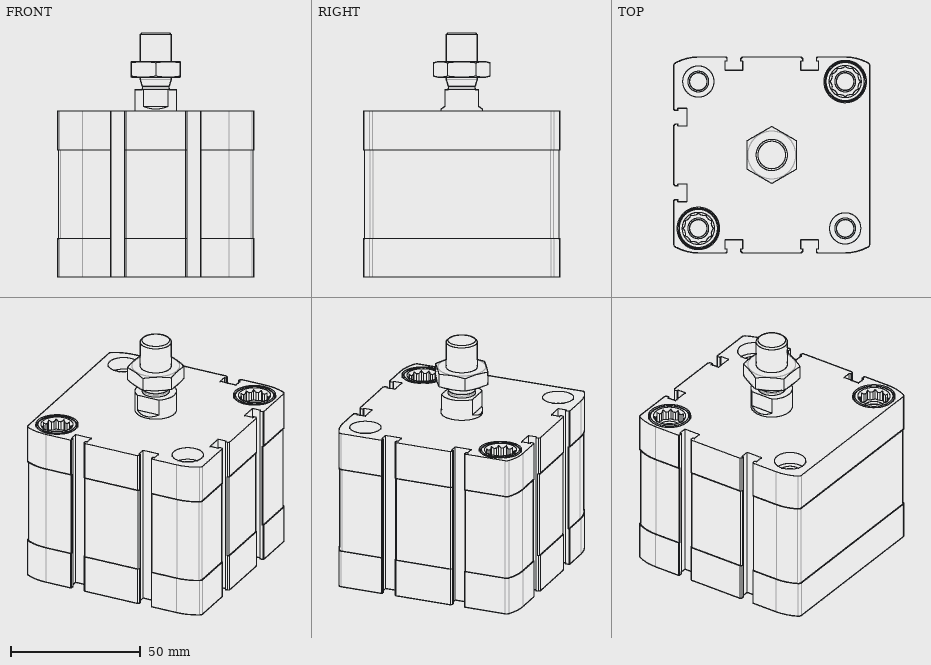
import cadquery as cq
import math

WIDTH = 75.5
HEIGHT = 63.9
TOP_CAP = 15.0
BOTTOM_CAP = 14.85
BARREL_INSET = 0.3
HALF = WIDTH / 2

HOLE_SPACING = 56.5
CORNER = HOLE_SPACING / 2
THROUGH_D = 6.7
THROUGH_RIM_D = 8.0
COUNTERBORE_D = 12.0
COUNTERBORE_DEPTH = 5.0

CORNER_R = 18.4
EDGE_R = 1.4

SLOT_OFFSET = 14.6
SLOT_MOUTH = 5.3
SLOT_WIDTH = 6.8
SLOT_DEPTH = 5.1
SLOT_LIP = 1.6
SLOT_INNER_CHAMFER = 0.6
SLOT_OUTER_CHAMFER = 0.3

HEAD_RECESS_D = 16.4
HEAD_D = 15.5
HEAD_FACE_D = 14.7
HEAD_GAP_DEPTH = 0.9
SOCKET_TEETH = 12
SOCKET_POINT_D = 11.7
SOCKET_CREST_D = 10.6
SOCKET_CREST_WIDTH = 1.0
SOCKET_RIM_D = 12.4
SOCKET_LEAD_IN_DEPTH = 1.5
SOCKET_DEPTH = 5.0

TOTAL_HEIGHT = 94.0
ROD_D = 16.0
ROD_BOTTOM_Z = HEIGHT - TOP_CAP
SHOULDER_Z = 72.1
FLATS_WIDTH = 13.0
FLATS_BOTTOM_Z = 65.7
FLATS_RUNOUT = 1.0
NECK_D = 10.6
NECK_TOP_Z = 73.7
UNDERCUT_D = 10.2
UNDERCUT_TOP_Z = 73.4
UNDERCUT_BOTTOM_Z = 72.8
THREAD_D = 12.0
THREAD_BOTTOM_Z = 76.0
THREAD_CHAMFER = 0.705

NUT_SIDES = 6
NUT_FLATS = 19.0
NUT_HEIGHT = 6.0
NUT_BOTTOM_Z = 76.9
NUT_FACE_D = 18.4
NUT_CHAMFER_ANGLE = 15


def cone(lower_d, upper_d, bottom_z, top_z):
    """Truncated cone or cylinder about the Z axis."""
    profile = [(0, bottom_z), (lower_d / 2, bottom_z), (upper_d / 2, top_z), (0, top_z)]
    return cq.Workplane("XZ").polyline(profile).close().revolve(360, (0, 0), (0, 1))


def block(inset, bottom_z, height):
    """Slab with the housing outline, set in all round by `inset`."""
    side = HALF - inset
    radius = CORNER_R - inset
    arc_centre = HALF - CORNER_R
    corner_y = arc_centre + math.sqrt(radius**2 - (side - CORNER) ** 2)
    mid_angle = (math.pi / 2 + math.atan2(corner_y - arc_centre, side - CORNER)) / 2
    mid_x = CORNER + radius * math.cos(mid_angle)
    mid_y = arc_centre + radius * math.sin(mid_angle)
    slab = (
        cq.Workplane("XY", origin=(0, 0, bottom_z))
        .moveTo(-CORNER, side)
        .lineTo(CORNER, side)
        .threePointArc((mid_x, mid_y), (side, corner_y))
        .lineTo(side, -corner_y)
        .threePointArc((mid_x, -mid_y), (CORNER, -side))
        .lineTo(-CORNER, -side)
        .threePointArc((-mid_x, -mid_y), (-side, -corner_y))
        .lineTo(-side, corner_y)
        .threePointArc((-mid_x, mid_y), (-CORNER, side))
        .close()
        .extrude(height)
    )
    for x in (-side, side):
        for y in (-corner_y, corner_y):
            nearest = cq.selectors.NearestToPointSelector((x, y, bottom_z + height / 2))
            slab = slab.edges("|Z").edges(nearest).fillet(EDGE_R)
    for slot in slots(side, bottom_z, height):
        slab = slab.cut(slot)
    return slab


def slots(side, bottom_z, height):
    """T-slots, two in each of the +Y, -X and -Y sides, open at `side`."""
    inner = SLOT_OFFSET - SLOT_MOUTH / 2
    outer = SLOT_OFFSET + SLOT_MOUTH / 2
    lip = HALF - SLOT_LIP
    floor = HALF - SLOT_DEPTH
    profile = [
        (inner - SLOT_INNER_CHAMFER, side),
        (inner, side - SLOT_INNER_CHAMFER),
        (inner, lip),
        (SLOT_OFFSET - SLOT_WIDTH / 2, lip),
        (SLOT_OFFSET - SLOT_WIDTH / 2, floor),
        (SLOT_OFFSET + SLOT_WIDTH / 2, floor),
        (SLOT_OFFSET + SLOT_WIDTH / 2, lip),
        (outer, lip),
        (outer, side - SLOT_OUTER_CHAMFER),
        (outer + SLOT_OUTER_CHAMFER, side),
    ]
    slot = cq.Workplane("XY", origin=(0, 0, bottom_z)).polyline(profile).close().extrude(height)
    pair = (slot, slot.mirror("YZ"))
    return [half.rotate((0, 0, 0), (0, 0, 1), turn) for turn in (0, 90, 180) for half in pair]


def through_hole(floor_z):
    """Through hole with a chamfered rim at the floor of the recess above it."""
    rim_depth = (THROUGH_RIM_D - THROUGH_D) / 2
    rim = cone(THROUGH_D, THROUGH_RIM_D, floor_z - rim_depth, floor_z)
    return cone(THROUGH_D, THROUGH_D, 0, floor_z).union(rim)


def counterbored_hole():
    floor_z = HEIGHT - COUNTERBORE_DEPTH
    return through_hole(floor_z).union(cone(COUNTERBORE_D, COUNTERBORE_D, floor_z, HEIGHT))


def head_gap():
    """Ring groove between the housing and the chamfered edge of a socket head."""
    bottom_z = HEIGHT - HEAD_GAP_DEPTH
    chamfer = (HEAD_D - HEAD_FACE_D) / 2
    head = cone(HEAD_D, HEAD_D, bottom_z, HEIGHT - chamfer)
    head = head.union(cone(HEAD_D, HEAD_FACE_D, HEIGHT - chamfer, HEIGHT))
    return cone(HEAD_RECESS_D, HEAD_RECESS_D, bottom_z, HEIGHT).cut(head)


def socket():
    """Twelve-point spline recess with a lead-in cone, above a through hole."""
    floor_z = HEIGHT - SOCKET_DEPTH
    pitch = 2 * math.pi / SOCKET_TEETH
    crest_half_angle = math.asin(SOCKET_CREST_WIDTH / SOCKET_CREST_D)
    outline = []
    for i in range(SOCKET_TEETH):
        point = i * pitch
        crest = point + pitch / 2
        for radius, angle in (
            (SOCKET_POINT_D / 2, point),
            (SOCKET_CREST_D / 2, crest - crest_half_angle),
            (SOCKET_CREST_D / 2, crest + crest_half_angle),
        ):
            outline.append((radius * math.cos(angle), radius * math.sin(angle)))
    spline = (
        cq.Workplane("XY", origin=(0, 0, floor_z)).polyline(outline).close().extrude(SOCKET_DEPTH)
    )
    lead_in = cone(SOCKET_CREST_D, SOCKET_RIM_D, HEIGHT - SOCKET_LEAD_IN_DEPTH, HEIGHT)
    return through_hole(floor_z).union(spline).union(lead_in)


def make_housing():
    barrel_top = HEIGHT - TOP_CAP
    housing = block(0, 0, BOTTOM_CAP)
    housing = housing.union(block(BARREL_INSET, BOTTOM_CAP, barrel_top - BOTTOM_CAP))
    housing = housing.union(block(0, barrel_top, TOP_CAP))
    for sign in (-1, 1):
        housing = housing.cut(counterbored_hole().translate((sign * CORNER, -sign * CORNER, 0)))
        housing = housing.cut(head_gap().translate((sign * CORNER, sign * CORNER, 0)))
        housing = housing.cut(socket().translate((sign * CORNER, sign * CORNER, 0)))
    return housing.cut(cone(ROD_D, ROD_D, ROD_BOTTOM_Z, HEIGHT))


def wrench_flat():
    """Cutter for the wrench flat on the +Y side, with a sloping lower end."""
    flat_y = FLATS_WIDTH / 2
    rod_y = ROD_D / 2
    profile = [
        (flat_y, SHOULDER_Z),
        (flat_y, FLATS_BOTTOM_Z),
        (rod_y, FLATS_BOTTOM_Z - FLATS_RUNOUT),
        (rod_y, SHOULDER_Z),
    ]
    return cq.Workplane("YZ").polyline(profile).close().extrude(ROD_D / 2, both=True)


def make_rod():
    profile = [
        (0, ROD_BOTTOM_Z),
        (ROD_D / 2, ROD_BOTTOM_Z),
        (ROD_D / 2, SHOULDER_Z),
        (NECK_D / 2, SHOULDER_Z),
        (UNDERCUT_D / 2, UNDERCUT_BOTTOM_Z),
        (UNDERCUT_D / 2, UNDERCUT_TOP_Z),
        (NECK_D / 2, NECK_TOP_Z),
        (THREAD_D / 2, THREAD_BOTTOM_Z),
        (THREAD_D / 2, TOTAL_HEIGHT - THREAD_CHAMFER),
        (THREAD_D / 2 - THREAD_CHAMFER, TOTAL_HEIGHT),
        (0, TOTAL_HEIGHT),
    ]
    rod = cq.Workplane("XZ").polyline(profile).close().revolve(360, (0, 0), (0, 1))
    return rod.cut(wrench_flat()).cut(wrench_flat().mirror("XZ"))


def make_nut():
    corner_d = NUT_FLATS / math.cos(math.pi / NUT_SIDES)
    top_z = NUT_BOTTOM_Z + NUT_HEIGHT
    chamfer = (corner_d - NUT_FACE_D) / 2 * math.tan(math.radians(NUT_CHAMFER_ANGLE))
    hexagon = (
        cq.Workplane("XY", origin=(0, 0, NUT_BOTTOM_Z))
        .polygon(NUT_SIDES, corner_d)
        .extrude(NUT_HEIGHT)
        .rotate((0, 0, 0), (0, 0, 1), 180 / NUT_SIDES)
    )
    envelope = cone(NUT_FACE_D, corner_d, NUT_BOTTOM_Z, NUT_BOTTOM_Z + chamfer)
    envelope = envelope.union(cone(corner_d, corner_d, NUT_BOTTOM_Z + chamfer, top_z - chamfer))
    envelope = envelope.union(cone(corner_d, NUT_FACE_D, top_z - chamfer, top_z))
    return hexagon.intersect(envelope).cut(cone(THREAD_D, THREAD_D, NUT_BOTTOM_Z, top_z))


housing = make_housing()
rod = make_rod()
nut = make_nut()
result = cq.Compound.makeCompound([housing.val(), rod.val(), nut.val()])